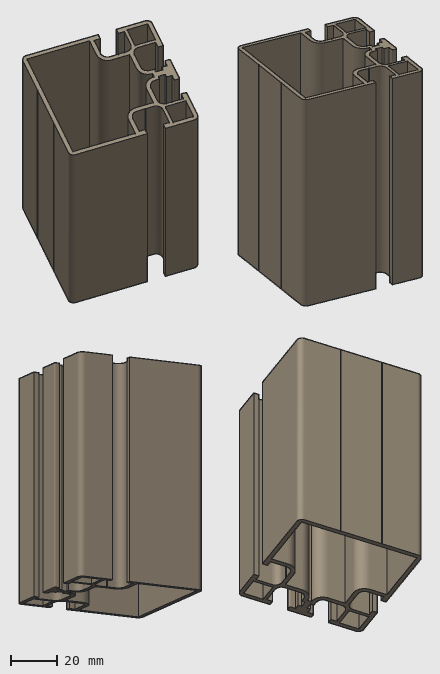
import cadquery as cq

SIZE = 60.0
LENGTH = 100.0
HALF = SIZE / 2
CORNER_RADIUS = 2.5
WALL = 2.0

SLOT_CENTRE = 20.0
SLOT_OPENING = 8.3
SLOT_WIDTH = 14.0
SLOT_DEPTH = 13.5
LIP = 2.5
SLOT_CORNER_RADIUS = 3.2

CELL_SIDE = 9.5

HEAD_EDGE_RADIUS = 0.6
NECK_WIDTH = 2.7
NECK_TOP = 5.0
NECK_HEIGHT = 3.2
GAP_TOP = 10.0

GROOVE_WIDTH = 0.4
GROOVE_DEPTH = 0.2

SLOT_NEAR = SLOT_CENTRE - SLOT_WIDTH / 2
SLOT_FAR = SLOT_CENTRE + SLOT_WIDTH / 2
SLOT_BACK = SLOT_DEPTH + WALL


def prism(points):
    """Full-length prism; points are (distance from left face, distance below top face)."""
    placed = [(x - HALF, HALF - depth) for x, depth in points]
    return cq.Workplane("XY").polyline(placed).close().extrude(LENGTH)


def block(x_range, depth_range):
    (x0, x1), (d0, d1) = x_range, depth_range
    return prism([(x0, d0), (x1, d0), (x1, d1), (x0, d1)])


def round_edge(body, x, depth, radius):
    """Round the lengthwise edge of body nearest the given place in the section."""
    edge_middle = (x - HALF, HALF - depth, LENGTH / 2)
    return body.edges(cq.selectors.NearestToPointSelector(edge_middle)).fillet(radius)


def slot_section():
    """Corner points of a slot as (distance along the face, depth below it)."""
    open_near = SLOT_CENTRE - SLOT_OPENING / 2
    open_far = SLOT_CENTRE + SLOT_OPENING / 2
    return [
        (open_near, 0),
        (open_near, LIP),
        (SLOT_NEAR, LIP),
        (SLOT_NEAR, SLOT_DEPTH),
        (SLOT_FAR, SLOT_DEPTH),
        (SLOT_FAR, LIP),
        (open_far, LIP),
        (open_far, 0),
    ]


def top_slot():
    """Left-hand slot in the top side, including the undercut beside the centre neck."""
    slot = prism(slot_section())
    for along in (SLOT_NEAR, SLOT_FAR):
        slot = round_edge(slot, along, SLOT_DEPTH, SLOT_CORNER_RADIUS)
    undercut = block((SLOT_CENTRE, HALF - NECK_WIDTH / 2), (NECK_TOP, NECK_TOP + NECK_HEIGHT))
    return slot.union(undercut)


def side_slot():
    """Slot in the left flank, with a V-groove along the middle of its floor."""
    slot = prism([(depth, along) for along, depth in slot_section()])
    for along in (SLOT_NEAR, SLOT_FAR):
        slot = round_edge(slot, SLOT_DEPTH, along, SLOT_CORNER_RADIUS)
    floor_groove = prism([
        (SLOT_DEPTH, SLOT_CENTRE - GROOVE_WIDTH / 2),
        (SLOT_DEPTH + GROOVE_DEPTH, SLOT_CENTRE),
        (SLOT_DEPTH, SLOT_CENTRE + GROOVE_WIDTH / 2),
    ])
    return slot.union(floor_groove)


def chamber():
    """Left half of the main hollow, following the slots at an even wall thickness."""
    slot_end = SLOT_FAR + WALL
    body = prism([
        (WALL, SIZE - WALL),
        (WALL, slot_end),
        (SLOT_BACK, slot_end),
        (SLOT_BACK, SLOT_BACK),
        (slot_end, SLOT_BACK),
        (slot_end, GAP_TOP),
        (HALF, GAP_TOP),
        (HALF, SIZE - WALL),
    ])
    outer_radius = SLOT_CORNER_RADIUS + WALL
    body = round_edge(body, SLOT_BACK, slot_end, outer_radius)
    return round_edge(body, slot_end, SLOT_BACK, outer_radius)


def bottom_groove():
    """V-groove in the bottom side, in line with the top slot."""
    return prism([
        (SLOT_CENTRE - GROOVE_WIDTH / 2, SIZE),
        (SLOT_CENTRE, SIZE - GROOVE_DEPTH),
        (SLOT_CENTRE + GROOVE_WIDTH / 2, SIZE),
    ])


half_profile = block((0, HALF), (0, SIZE))
half_profile = round_edge(half_profile, 0, 0, CORNER_RADIUS)
half_profile = round_edge(half_profile, 0, SIZE, CORNER_RADIUS)

cell_range = (WALL, WALL + CELL_SIDE)
for cavity in (block(cell_range, cell_range), top_slot(), side_slot(), chamber(), bottom_groove()):
    half_profile = half_profile.cut(cavity)

head_edge = SLOT_CENTRE + SLOT_OPENING / 2
for depth in (0, LIP):
    half_profile = round_edge(half_profile, head_edge, depth, HEAD_EDGE_RADIUS)

result = half_profile.union(half_profile.mirror("YZ")).clean()